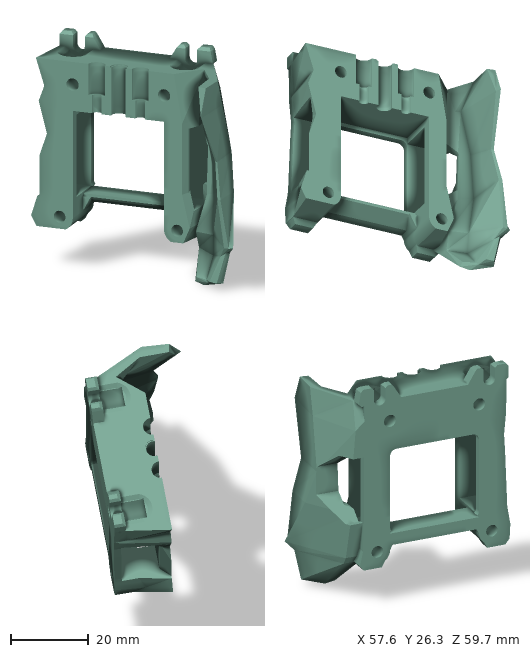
import cadquery as cq
import math

DEPTH = 14.7
BACK_WALL = 1.9
FRONT_WALL = 2.7
WINDOW_HALF = 12.6
WINDOW_TOP = -13.2
FLOOR = -37.15
FOOT_BOTTOM = -45.4
BACK_BOTTOM = -46.7
FAR = 59.7


def facet(points):
    return cq.Face.makeFromWires(cq.Wire.makePolygon([cq.Vector(*p) for p in points], close=True))


def faceted_solid(rings, tip=None):
    """Solid with triangular facets between rings of 3D points; the end is flat or runs to a tip."""
    faces = [facet(rings[0])]
    if tip is None:
        faces.append(facet(rings[-1]))
    count = len(rings[0])
    for i in range(count):
        j = (i + 1) % count
        for near, far in zip(rings, rings[1:]):
            faces.append(facet((near[i], near[j], far[j])))
            faces.append(facet((near[i], far[j], far[i])))
        if tip is not None:
            faces.append(facet((rings[-1][i], rings[-1][j], tip)))
    return cq.Workplane(cq.Solid.makeSolid(cq.Shell.makeShell(faces)).fix())


def box(x, y, z):
    """Box between pairs of limits along each axis."""
    size = [limits[1] - limits[0] for limits in (x, y, z)]
    return cq.Workplane().box(*size, centered=False).translate((x[0], y[0], z[0]))


def prism_y(points, y0, y1):
    """Prism along Y with an outline of (x, z) points."""
    return cq.Workplane("XZ", origin=(0, y0, 0)).polyline(points).close().extrude(y0 - y1)


def prism_x(points, x0, x1):
    """Prism along X with an outline of (y, z) points."""
    return cq.Workplane("YZ", origin=(x0, 0, 0)).polyline(points).close().extrude(x1 - x0)


def prism_z(points, z0, z1):
    """Prism along Z with an outline of (x, y) points."""
    return cq.Workplane("XY", origin=(0, 0, z0)).polyline(points).close().extrude(z1 - z0)


def cylinder_y(x, z, radius, y0=-FAR, y1=FAR):
    return cq.Workplane("XZ", origin=(x, y0, z)).circle(radius).extrude(y0 - y1)


def cylinder_z(x, y, radius, z0, z1):
    return cq.Workplane("XY", origin=(x, y, z0)).circle(radius).extrude(z1 - z0)


FRONT_OUTLINE = [
    (-22.8, 0), (-20.5, -7.35), (-22.0, -11.5), (-19.75, -20.1), (-21.75, -26.0), (-21.75, FLOOR),
    (-22.4, FLOOR), (-24.1, -42.6), (-22.6, FOOT_BOTTOM),
    (17.9, FOOT_BOTTOM), (19.7, -41.2), (17.6, -32.25), (17.6, WINDOW_TOP), (15.35, 0),
]
MIDDLE_RING = [
    (-21.0, 11.65, 0), (-20.4, 11.65, -8.65), (-20.9, 11.65, -9.55), (-19.7, 11.65, -16.7), (-20.0, 11.65, -21.5),
    (-20.6, 11.65, -35.8), (-20.8, 8.35, FLOOR), (-21.7, 6.55, -42.4), (-21.25, 10.15, FOOT_BOTTOM),
    (19.95, 10.15, FOOT_BOTTOM), (20.3, 5.4, -41.2), (20.05, 5.4, -32.25), (20.2, 5.4, WINDOW_TOP), (21.2, 6.85, 0),
]
BACK_OUTLINE = [
    (-20.4, 0), (-20.3, -8.25), (-20.3, -9.45), (-19.7, -15.7), (-20.0, -20.9), (-20.6, -35.8),
    (-20.8, FLOOR), (-21.5, -41.2), (-21.25, FOOT_BOTTOM),
    (19.95, FOOT_BOTTOM), (20.3, -41.2), (20.05, -32.25), (20.05, WINDOW_TOP), (19.7, 0),
]


def frame_body():
    front = [(x, 0, z) for x, z in FRONT_OUTLINE]
    back = [(x, DEPTH, z) for x, z in BACK_OUTLINE]
    return faceted_solid([front, MIDDLE_RING, back])


WING_RINGS = [
    [(14.3, DEPTH, 0), (21.75, 11.65, 0), (27.95, -1.2, 0), (27.45, -8.35, 0),
     (25.25, -7.95, 0), (25.2, -0.3, 0), (21.1, 6.55, 0)],
    [(14.3, DEPTH, -7.15), (22.4, DEPTH, -7.15), (28.25, 1.2, -7.15), (27.45, -11.6, -7.15),
     (26.75, -10.15, -7.15), (23.7, 4.2, -7.15), (22.4, 4.8, -7.15)],
    [(14.3, DEPTH, -20.9), (23.5, DEPTH, -20.9), (29.15, 5.55, -20.9), (29.0, -4.3, -20.9),
     (28.35, -4.05, -20.9), (26.5, 4.2, -19.1), (22.8, 4.2, -20.9)],
    [(14.3, DEPTH, -30.45), (23.5, DEPTH, -30.45), (31.0, 2.4, -30.45), (30.6, -6.1, -30.45),
     (29.7, -5.85, -30.45), (27.35, 4.2, -31.65), (22.8, 4.2, -32.85)],
    [(17.9, 11.95, -43.6), (23.9, 11.95, -43.6), (33.55, -4.6, -43.6), (32.55, -5.25, -43.6),
     (31.2, -5.2, -43.6), (25.2, 2.55, -43), (20.0, 3.6, -43)],
    [(19.2, 10.55, -45.7), (23.9, 10.55, -45.7), (31.8, -2.4, -45.5), (31.05, -3.65, -45.5),
     (29.55, -3.35, -46.55), (24.95, 3, -48.65), (20.2, 5.4, -47.75)],
    [(21.3, -0.25, -55.05), (23.95, -0.8, -55.7), (29.9, -2.4, -54.1), (28.95, -4.55, -53.6),
     (26.85, -4.2, -53.45), (25.1, -1.9, -53.75), (21.85, -0.7, -53.75)],
]
WING_TIP = (25.7, -2.25, -54.3)

SIDE_TOP = -15.0
SIDE_BACK = DEPTH - BACK_WALL
LEG_SIDE = 20.05
BACK_WINDOW_TOP = -14.2
BACK_WINDOW_BOTTOM = -37.7
WINDOW_CORNER = 1.8
WING_SLOT_BOTTOM = -33.6
WING_SLOT_TOP_CORNER = 11.0
WING_SLOT_FRONT = 5.3
WING_SLOT_UPPER = -19.65
WING_SLOT_LOWER = -27.45
FRONT_SLOT_LEFT = 18.55
FRONT_SLOT_BOTTOM = -32.25
FRONT_SLOT_NARROW = 19.7
TAPER_INNER = -19.1
TAPER_OUTER = -21.75


def window_openings():
    width = (-WINDOW_HALF, WINDOW_HALF)
    front = box(width, (-0.6, SIDE_BACK), (BACK_WINDOW_BOTTOM, WINDOW_TOP))
    back = box(width, (0, FAR), (BACK_WINDOW_BOTTOM, BACK_WINDOW_TOP)).edges("|Y").fillet(WINDOW_CORNER)
    between_feet = box(width, (-0.6, FAR), (-FAR, FLOOR))
    return front.union(back).union(between_feet)


def side_openings():
    cavity = box((-FAR, LEG_SIDE + 0.6), (FRONT_WALL, SIDE_BACK), (FLOOR, SIDE_TOP))
    left_taper = prism_z([(TAPER_INNER, FRONT_WALL), (TAPER_OUTER, 0), (-FAR, 0), (-FAR, FRONT_WALL)],
                         FLOOR, SIDE_TOP)
    return cavity.union(left_taper)


def wing_openings():
    through_wing = prism_x([(FAR, SIDE_TOP), (WING_SLOT_TOP_CORNER, SIDE_TOP),
                            (WING_SLOT_FRONT, WING_SLOT_UPPER), (WING_SLOT_FRONT, WING_SLOT_LOWER),
                            (SIDE_BACK, WING_SLOT_BOTTOM), (FAR, WING_SLOT_BOTTOM)], LEG_SIDE, FAR)
    behind_leg = prism_y([(FRONT_SLOT_LEFT, SIDE_TOP), (20.3, SIDE_TOP), (23.15, WING_SLOT_UPPER), (22.8, -30.15),
                          (21.15, -30.75), (19.05, -32.85), (FRONT_SLOT_LEFT, FRONT_SLOT_BOTTOM)],
                         FRONT_WALL, SIDE_BACK)
    beside_leg = prism_y([(FRONT_SLOT_LEFT, SIDE_TOP), (FRONT_SLOT_LEFT, FRONT_SLOT_BOTTOM),
                          (FRONT_SLOT_NARROW, -29.85), (FRONT_SLOT_NARROW, SIDE_TOP)], -0.6, FRONT_WALL + 0.6)
    return through_wing.union(behind_leg).union(beside_leg)


BAR_FRONT = 7.75
BAR_FRONT_BOTTOM = -38.45
BAR_BACK_BOTTOM = -40.95
BACK_EDGE_FRONT = 11.65
BEVEL_FRONT = 10.55
FOOT_WEB_FRONT = BAR_FRONT - 0.6
FOOT_WEB_BOTTOM = -41.8


def cross_bar():
    return prism_x([(BAR_FRONT, BACK_WINDOW_BOTTOM), (DEPTH, BACK_WINDOW_BOTTOM),
                    (DEPTH, BAR_BACK_BOTTOM), (BACK_EDGE_FRONT, BAR_BACK_BOTTOM),
                    (BAR_FRONT, BAR_FRONT_BOTTOM)], -WINDOW_HALF - 0.6, WINDOW_HALF + 0.6)


def back_foot(side):
    section = prism_x([(DEPTH, FLOOR), (FOOT_WEB_FRONT, FLOOR), (FOOT_WEB_FRONT, FOOT_WEB_BOTTOM),
                       (BEVEL_FRONT, FOOT_BOTTOM), (BACK_EDGE_FRONT, BACK_BOTTOM), (DEPTH, BACK_BOTTOM)],
                      -FAR, FAR)
    outline = [(10.55, BAR_FRONT_BOTTOM), (14.9, BACK_BOTTOM), (20.05, BACK_BOTTOM),
               (21.15, FOOT_BOTTOM), (19.7, BAR_FRONT_BOTTOM)]
    return prism_y([(side * x, z) for x, z in outline], 0, DEPTH).intersect(section)


HOLE_X = 16.25
FOOT_HOLE_Z = -42.15
FOOT_RADIUS = HOLE_X - WINDOW_HALF


def foot_corner(side):
    corner_x = side * WINDOW_HALF
    corner = box(sorted((corner_x, side * HOLE_X)), (-0.6, FAR), (-FAR, FOOT_HOLE_Z))
    return corner.cut(cylinder_y(side * HOLE_X, FOOT_HOLE_Z, FOOT_RADIUS))


UPPER_HOLE = (12.65, -6.1, 1.7)
FOOT_HOLE_RADIUS = 1.6
GROOVE_X = 6.0
GROOVE_RADIUS = 2.25
GROOVE_END = -8.4
GROOVE_NARROW = 1.3
CENTRE_GROOVE_Y = 0.55
CENTRE_GROOVE_RADIUS = 2.0
CENTRE_GROOVE_CHAMFER = 0.3


def front_grooves():
    tool = cylinder_z(0, CENTRE_GROOVE_Y, CENTRE_GROOVE_RADIUS, WINDOW_TOP - 0.6, 0)
    rim = tool.faces(">Z").workplane().circle(CENTRE_GROOVE_RADIUS + CENTRE_GROOVE_CHAMFER)
    tool = rim.extrude(-CENTRE_GROOVE_CHAMFER)
    for x in (-GROOVE_X, GROOVE_X):
        tool = tool.union(cylinder_z(x, 0, GROOVE_RADIUS, GROOVE_END, 0.6))
        tool = tool.union(cylinder_z(x, 0, GROOVE_NARROW, WINDOW_TOP - 0.6, 0))
    return tool


def holes():
    x, z, radius = UPPER_HOLE
    tool = cq.Workplane()
    for side in (-1, 1):
        tool = tool.add(cylinder_y(side * x, z, radius))
        tool = tool.add(cylinder_y(side * HOLE_X, FOOT_HOLE_Z, FOOT_HOLE_RADIUS))
    return tool.combine()


HOOK_X = 15.5
HOOK_FRONT = 11.7
HOOK_TOP = 4.0
HOOK_CHAMFER = 0.8
SLOT_RADIUS = 1.6
SLOT_FLARE = 0.65
TROUGH_AXIS = 0.4
TROUGH_RADIUS = 2.8
TROUGH_END = 5.7
RIM_HALF = 3.9
RIM_ARC_START = 6.6
RIM_ARC_END = 3.9
RIM_DEPTH = 0.7
RIM_INSET = 1.15


def hook(side, outer_base):
    outline = [(9.5, -RIM_DEPTH), (9.5, 0), (11.45, HOOK_TOP - HOOK_CHAMFER), (12.05, HOOK_TOP),
               (20.3, HOOK_TOP), (20.9, HOOK_TOP - HOOK_CHAMFER), (outer_base, 0), (outer_base - 0.8, -RIM_DEPTH)]
    body = prism_y([(side * x, z) for x, z in outline], HOOK_FRONT, DEPTH)
    return body.faces(">Z").edges("<Y").chamfer(HOOK_CHAMFER)


def trough(side):
    x = side * HOOK_X
    rim = (
        cq.Workplane("XY", origin=(x, 0, 0))
        .moveTo(-RIM_HALF, HOOK_FRONT + RIM_INSET)
        .lineTo(-RIM_HALF, RIM_ARC_START)
        .threePointArc((0, RIM_ARC_END), (RIM_HALF, RIM_ARC_START))
        .lineTo(RIM_HALF, HOOK_FRONT + RIM_INSET)
        .close()
        .extrude(-RIM_DEPTH, taper=math.degrees(math.atan(RIM_INSET / RIM_DEPTH)))
    )
    return rim.union(cylinder_y(x, TROUGH_AXIS, TROUGH_RADIUS, TROUGH_END, HOOK_FRONT))


def hook_slot(side):
    x = side * HOOK_X
    mouth = HOOK_TOP - SLOT_FLARE
    outline = [(-SLOT_RADIUS, TROUGH_AXIS), (-SLOT_RADIUS, mouth), (-SLOT_RADIUS - SLOT_FLARE, HOOK_TOP),
               (SLOT_RADIUS + SLOT_FLARE, HOOK_TOP), (SLOT_RADIUS, mouth), (SLOT_RADIUS, TROUGH_AXIS)]
    upper = prism_y([(x + dx, z) for dx, z in outline], TROUGH_END, FAR)
    return upper.union(cylinder_y(x, TROUGH_AXIS, SLOT_RADIUS, TROUGH_END, FAR))


result = frame_body().union(faceted_solid(WING_RINGS, WING_TIP))
result = result.cut(window_openings()).cut(side_openings()).cut(wing_openings())
for side in (-1, 1):
    result = result.cut(foot_corner(side)).cut(trough(side))
    result = result.union(back_foot(side))
result = result.union(cross_bar())
for side, outer_base in ((-1, 20.9), (1, 21.5)):
    result = result.union(hook(side, outer_base)).cut(hook_slot(side))
result = result.cut(front_grooves()).cut(holes())